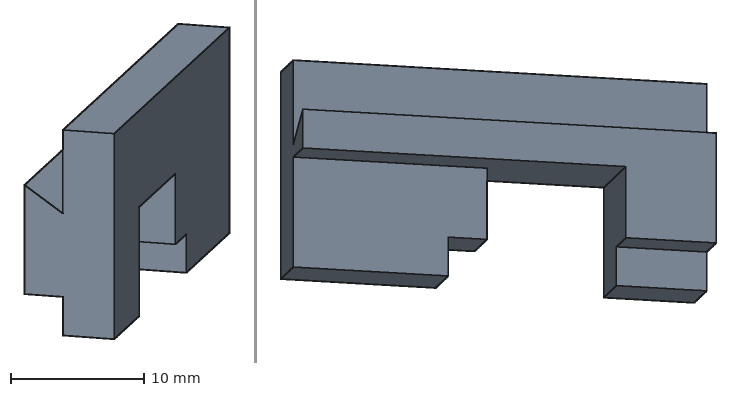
import cadquery as cq

length = 32.0
height = 16.0
plate_thickness = 4.0
rail_depth = 3.0

rail_bottom = 8.5
rail_tip_height = 11.5
rail_root_height = 9.5

front_leg_length = 7.0
step_height = 3.0
back_leg_length = 15.0
back_foot_length = 12.0

depth = plate_thickness + rail_depth


def make_plate():
    """Upright plate, its lower edge cut into two legs; the back leg is stepped."""
    outline = [
        (0, 0),
        (front_leg_length, 0),
        (front_leg_length, rail_bottom),
        (length - back_leg_length, rail_bottom),
        (length - back_leg_length, step_height),
        (length - back_foot_length, step_height),
        (length - back_foot_length, 0),
        (length, 0),
        (length, height),
        (0, height),
    ]
    return (
        cq.Workplane("YZ")
        .workplane(offset=rail_depth)
        .polyline(outline)
        .close()
        .extrude(plate_thickness)
    )


def make_rail(bottom, run):
    """Rail with a sloped top, from the -Y end; it reaches down to the given height."""
    outline = [
        (0, bottom),
        (rail_depth, bottom),
        (rail_depth, rail_root_height),
        (0, rail_tip_height),
    ]
    return cq.Workplane("XZ").polyline(outline).close().extrude(-run)


full_rail = make_rail(rail_bottom, length)
front_pad = make_rail(step_height, front_leg_length)

result = (
    make_plate()
    .union(full_rail)
    .union(front_pad)
    .clean()
    .translate((-depth / 2, -length / 2, -height / 2))
)